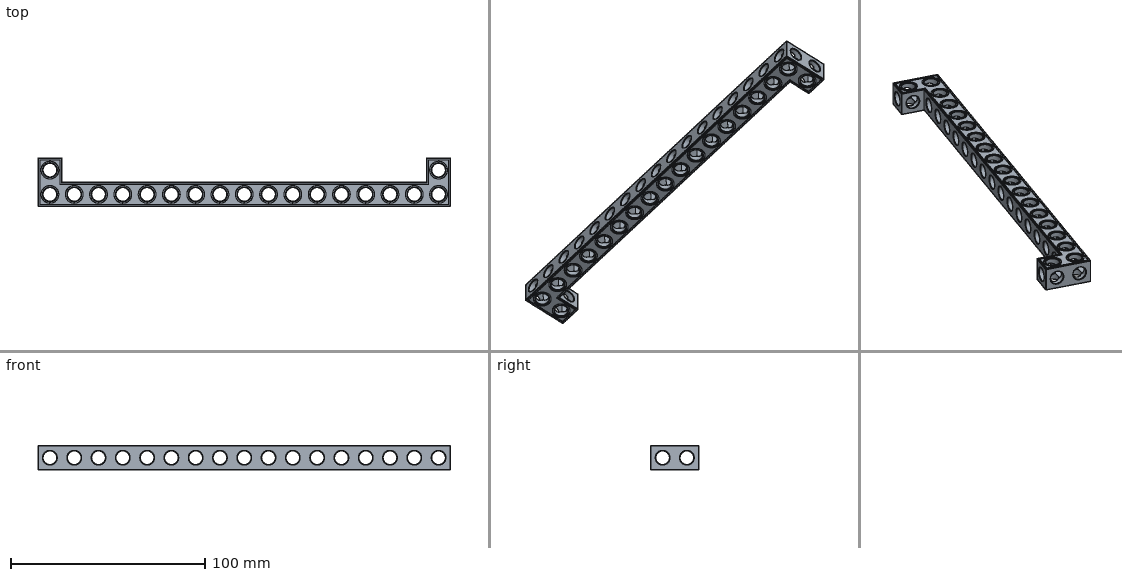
import cadquery as cq

length = 212.5
hole_count = 17
arm_rows = 2
hole_diameter = 7.0
boss_diameter = 9.1
rim_width = 1.0
recess_depth = 0.25
edge_chamfer = 0.3

pitch = length / hole_count
width = arm_rows * pitch
half_cell = pitch / 2
first_x = half_cell - length / 2
row_y = half_cell - width / 2
beam_columns = [first_x + column * pitch for column in range(hole_count)]
arm_columns = [beam_columns[0], beam_columns[-1]]
arm_row_ys = [row_y + row * pitch for row in range(1, arm_rows)]


def bracket(inset, height, bottom):
    """U-shaped block with its outline pulled in by `inset` on every side."""
    outer_x = length / 2 - inset
    inner_x = length / 2 - pitch + inset
    front_y = inset - width / 2
    step_y = pitch - width / 2 - inset
    back_y = width / 2 - inset
    outline = [
        (-outer_x, front_y),
        (outer_x, front_y),
        (outer_x, back_y),
        (inner_x, back_y),
        (inner_x, step_y),
        (-inner_x, step_y),
        (-inner_x, back_y),
        (-outer_x, back_y),
    ]
    return cq.Workplane("XY").workplane(offset=bottom).polyline(outline).close().extrude(height)


def vertical_centers():
    """(x, y) of the vertical holes of the beam and the arms."""
    beam_centers = [(x, row_y) for x in beam_columns]
    arm_centers = [(x, y) for x in arm_columns for y in arm_row_ys]
    return beam_centers + arm_centers


def recess(bottom):
    """Pocket inside the rim that leaves a round boss standing at each hole."""
    pocket = bracket(rim_width, recess_depth, bottom)
    plane = cq.Workplane("XY").workplane(offset=bottom)
    bosses = plane.pushPoints(vertical_centers()).circle(boss_diameter / 2).extrude(recess_depth)
    return pocket.cut(bosses)


def hole_cutter(start, end, direction):
    """Hole along axis "X", "Y" or "Z" from `start` to `end`, flared at both mouths."""
    radius = hole_diameter / 2
    flared = radius + edge_chamfer
    profile = [
        (0, start),
        (flared, start),
        (radius, start + edge_chamfer),
        (radius, end - edge_chamfer),
        (flared, end),
        (0, end),
    ]
    cutter = cq.Workplane("XZ").polyline(profile).close().revolve(360, (0, 0), (0, 1))
    if direction == "X":
        return cutter.rotate((0, 0, 0), (0, 1, 0), 90)
    if direction == "Y":
        return cutter.rotate((0, 0, 0), (1, 0, 0), -90)
    return cutter


block = bracket(0, pitch, -half_cell)
inner_step_center = (0, pitch - width / 2, 0)
inner_step = block.faces(cq.NearestToPointSelector(inner_step_center))
inner_corners = inner_step.edges("|Z").vals()
outer_edges = [edge for edge in block.edges().vals() if edge not in inner_corners]
body = block.newObject(outer_edges).chamfer(edge_chamfer)

body = body.cut(recess(half_cell - recess_depth))
body = body.cut(recess(-half_cell))

vertical_hole = hole_cutter(-half_cell, half_cell, "Z")
for x, y in vertical_centers():
    body = body.cut(vertical_hole.translate((x, y, 0)))

for x in beam_columns:
    end_y = width / 2 if x in arm_columns else pitch - width / 2
    body = body.cut(hole_cutter(-width / 2, end_y, "Y").translate((x, 0, 0)))

body = body.cut(hole_cutter(-length / 2, length / 2, "X").translate((0, row_y, 0)))

arm_hole = hole_cutter(-half_cell, half_cell, "X")
for x in arm_columns:
    for y in arm_row_ys:
        body = body.cut(arm_hole.translate((x, y, 0)))

result = body